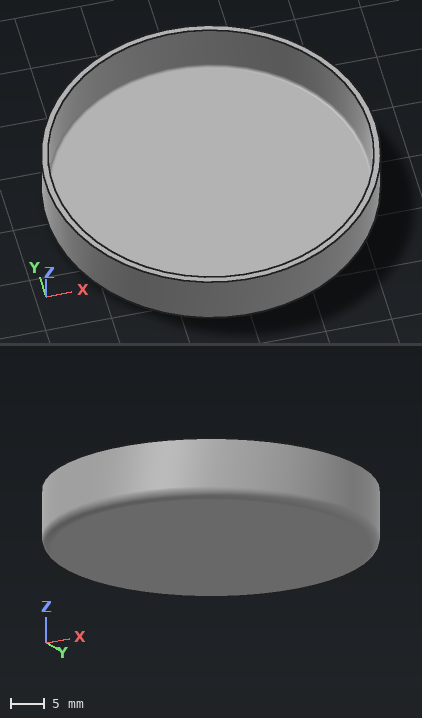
import cadquery as cq

outer_diameter = 50.0
height = 9.0
wall_thickness = 1.0
floor_thickness = 1.0
outer_edge_radius = 1.5

inner_diameter = outer_diameter - 2 * wall_thickness
inner_edge_radius = outer_edge_radius - wall_thickness


def rounded_disc(diameter, disc_height, edge_radius):
    """Upright cylinder standing on Z = 0, with its bottom edge rounded."""
    disc = cq.Workplane("XY").circle(diameter / 2).extrude(disc_height)
    return disc.faces("<Z").edges().fillet(edge_radius)


body = rounded_disc(outer_diameter, height, outer_edge_radius)
cavity = rounded_disc(inner_diameter, height - floor_thickness, inner_edge_radius)

result = body.cut(cavity.translate((0, 0, floor_thickness)))